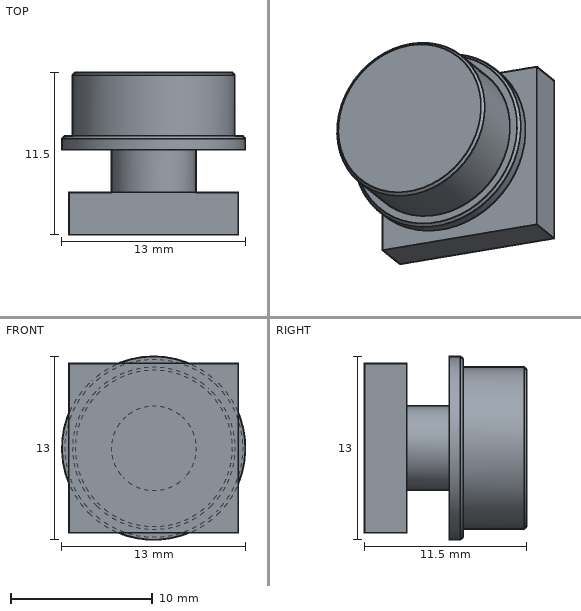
import cadquery as cq

plate_side = 12.0
plate_thickness = 3.0

stem_diameter = 6.0
stem_length = 3.0
flange_diameter = 13.0
flange_thickness = 1.0
body_diameter = 11.5
body_length = 4.5

rim_chamfer = 0.2

stem_start = plate_thickness
flange_start = stem_start + stem_length
body_start = flange_start + flange_thickness


def plane_at(y):
    """Sketch plane normal to the part axis at the given Y, extruding toward +Y."""
    return cq.Workplane(cq.Plane(origin=(0, y, 0), xDir=(0, 0, 1), normal=(0, 1, 0)))


def make_plate():
    return plane_at(0).rect(plate_side, plate_side).extrude(plate_thickness)


def make_disc(start, diameter, length):
    return plane_at(start).circle(diameter / 2).extrude(length)


def make_chamfered_disc(start, diameter, length):
    return make_disc(start, diameter, length).faces(">Y").edges().chamfer(rim_chamfer)


plate = make_plate()
stem = make_disc(stem_start, stem_diameter, stem_length)
flange = make_chamfered_disc(flange_start, flange_diameter, flange_thickness)
body = make_chamfered_disc(body_start, body_diameter, body_length)

result = plate.union(stem).union(flange).union(body)